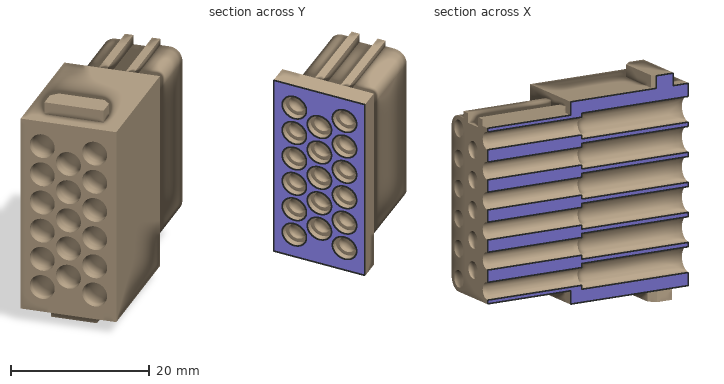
import cadquery as cq

body_width = 14.6
body_depth = 20.0
body_height = 30.45

total_depth = 34.03
plug_width = 12.1
plug_height = 26.45
plug_radius = 2.0
plug_depth = total_depth - body_depth

ridge_inner_x = 1.45
ridge_outer_x = 2.7
ridge_height = 1.0
floor_drop = 0.48

total_height = 34.2
tab_height = (total_height - body_height) / 2
tab_setback = 2.53
tab_depth = 3.52
tab_chamfer = 1.03
top_tab_width = 9.03
bottom_tab_width = 7.0

cavity_pitch = 4.5
column_offset = 4.0
outer_column_count = 6
middle_column_count = 5
entry_diameter = 3.8
contact_diameter = 2.6
web_thickness = 2.02
entry_depth = body_depth - web_thickness


def block(width, depth, height, front_y, bottom_z):
    """Box centred on X that starts at the given front and bottom."""
    return cq.Workplane("XY").box(width, depth, height, centered=(True, False, False)).translate(
        (0, front_y, bottom_z)
    )


def make_plug():
    """Rounded plug with its two key ridges and the channel between them."""
    top_z = plug_height / 2
    plug = block(plug_width, plug_depth, plug_height, body_depth, -top_z)
    plug = plug.edges("|Y").fillet(plug_radius)

    ridge_width = ridge_outer_x - ridge_inner_x
    ridge_center_x = (ridge_outer_x + ridge_inner_x) / 2
    ridge = block(ridge_width, plug_depth, ridge_height + floor_drop, body_depth, top_z - floor_drop)
    for side in (-1, 1):
        plug = plug.union(ridge.translate((side * ridge_center_x, 0, 0)))

    channel = block(2 * ridge_inner_x, plug_depth, floor_drop, body_depth, top_z - floor_drop)
    return plug.cut(channel)


def make_tab(width, bottom_z):
    """Latch tab with its two rear corners chamfered."""
    tab = block(width, tab_depth, tab_height, tab_setback, bottom_z)
    return tab.faces(">Y").edges("|Z").chamfer(tab_chamfer)


def column_points(x, count):
    """Cavity centres of one column, spread evenly about Z = 0."""
    lowest_z = -(count - 1) * cavity_pitch / 2
    return [(x, lowest_z + row * cavity_pitch) for row in range(count)]


def bores(points, diameter, depth):
    """Round cutters running back from the front face."""
    return cq.Workplane("XZ").pushPoints(points).circle(diameter / 2).extrude(-depth)


cavity_points = (
    column_points(-column_offset, outer_column_count)
    + column_points(0, middle_column_count)
    + column_points(column_offset, outer_column_count)
)

housing = block(body_width, body_depth, body_height, 0, -body_height / 2)
result = (
    housing.union(make_plug())
    .union(make_tab(top_tab_width, body_height / 2))
    .union(make_tab(bottom_tab_width, -total_height / 2))
    .cut(bores(cavity_points, entry_diameter, entry_depth))
    .cut(bores(cavity_points, contact_diameter, total_depth))
)